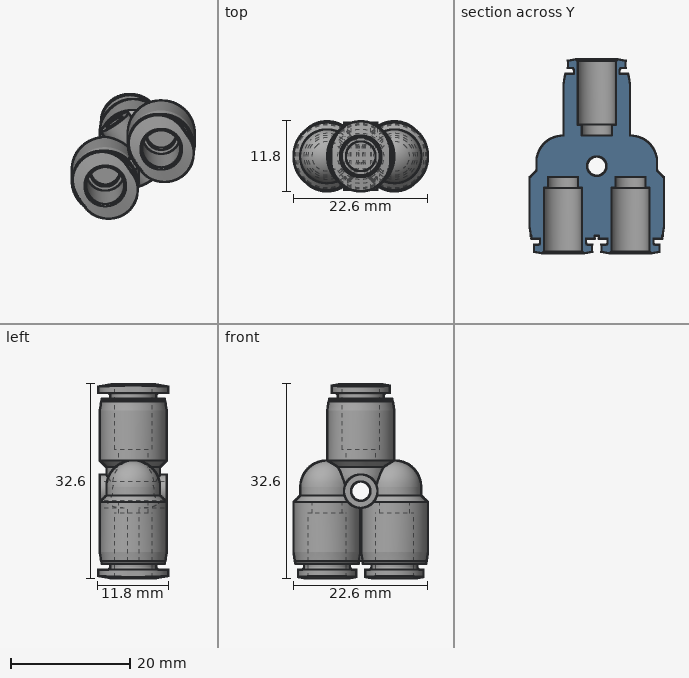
import cadquery as cq
import math

overall_height = 32.6
body_diameter = 11.3
port_offset = body_diameter / 2

collar_width = 9.8
collar_length = 11.8
collar_thickness = 1.5
crown_diameter = 7.0
crown_angle = 10.0

sleeve_diameter = 7.75
sleeve_fillet = 0.4

ring_diameter = 10.7
ring_chamfer = 0.1
ring_start = 2.45
taper_start = 2.95
taper_small_diameter = 10.85
taper_end = 4.45
shoulder_start = 12.8
neck_diameter = 9.05
dome_start = 15.3

bore_diameter = 6.35
bore_depth = 11.0
passage_diameter = 5.0
passage_depth = shoulder_start

boss_diameter = 5.6
boss_length = body_diameter
boss_hole_diameter = 3.2
boss_height = 14.65

web_width = 1.0
web_depth = 2.0


def make_collar():
    """Collar plate, mouth face at Z = 0, with the cone sloping back from the bore."""
    plate = (
        cq.Workplane("XY")
        .slot2D(collar_length, collar_width, 90)
        .extrude(collar_thickness)
    )
    crown_radius = crown_diameter / 2
    outer_radius = collar_length
    drop = (outer_radius - crown_radius) * math.tan(math.radians(crown_angle))
    envelope = (
        cq.Workplane("XZ")
        .moveTo(0, 0)
        .lineTo(crown_radius, 0)
        .lineTo(outer_radius, drop)
        .lineTo(outer_radius, drop + collar_thickness)
        .lineTo(0, drop + collar_thickness)
        .close()
        .revolve(360, (0, 0, 0), (0, 1, 0))
    )
    return plate.intersect(envelope)


def make_body():
    """Sleeve, ring, tapered body, neck and dome, turned about Z."""
    sleeve_radius = sleeve_diameter / 2
    ring_radius = ring_diameter / 2
    body_radius = body_diameter / 2
    neck_radius = neck_diameter / 2
    neck_start = shoulder_start + body_radius - neck_radius
    dome_middle = neck_radius * math.sqrt(0.5)
    fillet_middle = sleeve_fillet * (1 - math.sqrt(0.5))
    return (
        cq.Workplane("XZ")
        .moveTo(0, collar_thickness)
        .lineTo(sleeve_radius + sleeve_fillet, collar_thickness)
        .threePointArc(
            (sleeve_radius + fillet_middle, collar_thickness + fillet_middle),
            (sleeve_radius, collar_thickness + sleeve_fillet),
        )
        .lineTo(sleeve_radius, ring_start)
        .lineTo(ring_radius - ring_chamfer, ring_start)
        .lineTo(ring_radius, ring_start + ring_chamfer)
        .lineTo(ring_radius, taper_start)
        .lineTo(taper_small_diameter / 2, taper_start)
        .lineTo(body_radius, taper_end)
        .lineTo(body_radius, shoulder_start)
        .lineTo(neck_radius, neck_start)
        .lineTo(neck_radius, dome_start)
        .threePointArc(
            (dome_middle, dome_start + dome_middle),
            (0, dome_start + neck_radius),
        )
        .close()
        .revolve(360, (0, 0, 0), (0, 1, 0))
    )


def make_bore():
    """Stepped tube bore with a 45 degree chamfer at the mouth."""
    bore_radius = bore_diameter / 2
    mouth_radius = crown_diameter / 2
    passage_radius = passage_diameter / 2
    return (
        cq.Workplane("XZ")
        .moveTo(0, 0)
        .lineTo(mouth_radius, 0)
        .lineTo(bore_radius, mouth_radius - bore_radius)
        .lineTo(bore_radius, bore_depth)
        .lineTo(passage_radius, bore_depth)
        .lineTo(passage_radius, passage_depth)
        .lineTo(0, passage_depth)
        .close()
        .revolve(360, (0, 0, 0), (0, 1, 0))
    )


def place_ports(port):
    """Two copies facing down and one turned over to face up."""
    left = port.translate((-port_offset, 0, 0))
    right = port.translate((port_offset, 0, 0))
    upper = port.rotate((0, 0, 0), (1, 0, 0), 180).translate((0, 0, overall_height))
    return left.union(right).union(upper)


def make_cross_cylinder(diameter):
    """Cylinder along Y at the boss, centred on the XZ plane."""
    return (
        cq.Workplane("XZ")
        .center(0, boss_height)
        .circle(diameter / 2)
        .extrude(boss_length / 2, both=True)
    )


def make_web():
    """Thin rib between the lower bodies, from the end of their taper up to the boss."""
    return (
        cq.Workplane("XY")
        .workplane(offset=taper_start)
        .rect(web_width, web_depth)
        .extrude(boss_height - taper_start)
    )


result = (
    place_ports(make_body().union(make_collar()))
    .union(make_web())
    .union(make_cross_cylinder(boss_diameter))
    .cut(place_ports(make_bore()))
    .cut(make_cross_cylinder(boss_hole_diameter))
)